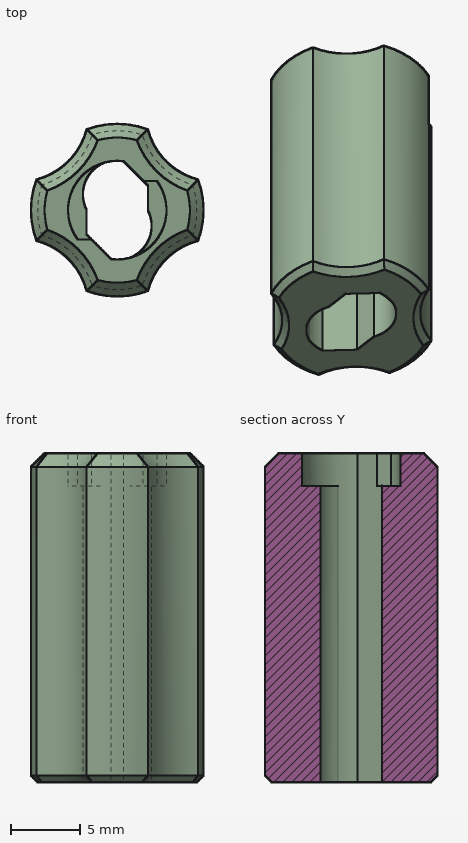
import cadquery as cq
import math

length = 23.75
body_diameter = 12.47
flute_count = 4
flute_radius = 5.0
flute_center_distance = 10.0
top_chamfer = 1.0
bottom_chamfer = 0.5

bore_diameter = 7.1
bore_radius = bore_diameter / 2
socket_depth = 2.38
key_flat_distance = 2.8
key_flat_sum = key_flat_distance * math.sqrt(2)
key_ledge_offset = 2.11

lobe_radius = 2.47
lobe_center_offset = 1.15
slot_flat_offset = 2.2


def half_turn_pair(shape):
    """Return the shape joined with its copy turned half a turn about Z."""
    return shape.union(shape.rotate((0, 0, 0), (0, 0, 1), 180))


def make_body():
    """Round bar with lengthwise flutes on the diagonals and chamfered ends."""
    bar = cq.Workplane("XY").circle(body_diameter / 2).extrude(length)
    flutes = (
        cq.Workplane("XY")
        .polarArray(flute_center_distance, 45, 360, flute_count)
        .circle(flute_radius)
        .extrude(length)
    )
    body = bar.cut(flutes)
    body = body.faces(">Z").edges().chamfer(top_chamfer)
    return body.faces("<Z").edges().chamfer(bottom_chamfer)


def make_key():
    """Wedge in the +X +Y part of the bore, behind a 45 degree flat."""
    reach = bore_diameter
    return (
        cq.Workplane("XY")
        .moveTo(key_flat_sum - key_ledge_offset, key_ledge_offset)
        .lineTo(reach, key_ledge_offset)
        .lineTo(reach, reach)
        .lineTo(key_flat_sum - reach, reach)
        .close()
        .extrude(length)
    )


def make_socket():
    """Round bore with two opposite keys left standing in it."""
    bore = cq.Workplane("XY").circle(bore_radius).extrude(socket_depth)
    socket = bore.cut(half_turn_pair(make_key()))
    return socket.translate((0, 0, length - socket_depth))


def make_through_slot():
    """Two opposite lobes, each with one side flat and one 45 degree flat."""
    step_y = lobe_center_offset - math.sqrt(lobe_radius**2 - slot_flat_offset**2)
    half_chord = math.sqrt(bore_radius**2 - key_flat_distance**2)
    flat_end_x = (key_flat_distance - half_chord) / math.sqrt(2)
    flat_end_y = (key_flat_distance + half_chord) / math.sqrt(2)
    lobe_end_y = (bore_radius**2 - lobe_radius**2 + lobe_center_offset**2) / (2 * lobe_center_offset)
    lobe_end_x = -math.sqrt(bore_radius**2 - lobe_end_y**2)

    outline = cq.Workplane("XY").moveTo(slot_flat_offset, -step_y)
    for side in (1, -1):
        outline = (
            outline.lineTo(side * slot_flat_offset, side * (key_flat_sum - slot_flat_offset))
            .lineTo(side * flat_end_x, side * flat_end_y)
            .threePointArc((0, side * bore_radius), (side * lobe_end_x, side * lobe_end_y))
            .threePointArc(
                (-side * lobe_radius, side * lobe_center_offset),
                (-side * slot_flat_offset, side * step_y),
            )
        )
    return outline.close().extrude(length)


result = make_body().cut(make_socket()).cut(make_through_slot())